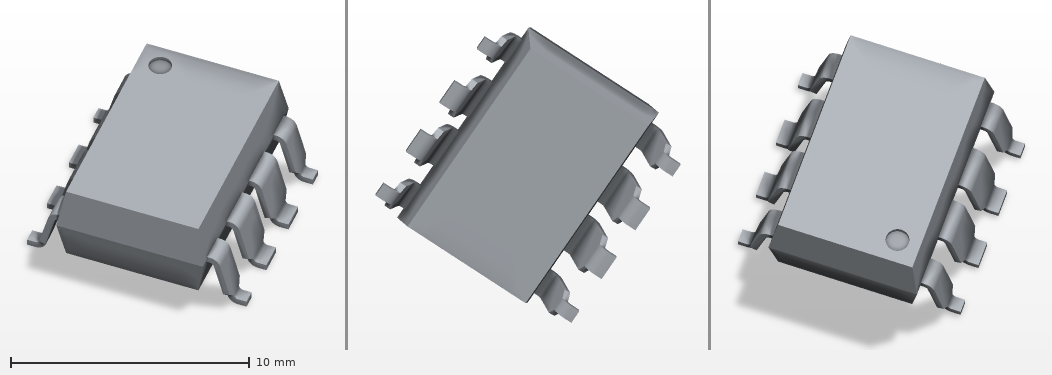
import cadquery as cq
import math

overall_span = 9.9
overall_height = 4.46

housing_width = 6.6
housing_length = overall_span
housing_height = 3.72
draft_inset = 0.32
half_height = housing_height / 2
parting_z = overall_height - half_height

marker_diameter = 1.0
marker_depth = 0.2
marker_x = -1.98
marker_y = 3.64

lead_pitch = 2.54
leads_per_side = 4
lead_thickness = 0.3
lead_slant = 15.0
inner_bend_radius = 0.2
outer_bend_radius = inner_bend_radius + lead_thickness
middle_bend_radius = inner_bend_radius + lead_thickness / 2
lead_rise = 0.07
lead_top_z = parting_z + lead_rise
foot_length = 0.38
taper_length = 0.33
end_shoulder_width = 1.2
end_foot_width = 0.59
inner_shoulder_width = 1.81
inner_foot_width = 1.12

slant_sin = math.sin(math.radians(lead_slant))
slant_cos = math.cos(math.radians(lead_slant))
lower_bend_x = -overall_span / 2 + foot_length
lower_bend_z = outer_bend_radius
upper_bend_z = lead_top_z - outer_bend_radius
bend_rise = upper_bend_z - lower_bend_z
straight_length = (bend_rise + 2 * middle_bend_radius * slant_sin) / slant_cos
upper_bend_x = lower_bend_x + 2 * middle_bend_radius * slant_cos + straight_length * slant_sin


def make_housing_half(height):
    """Frustum from the parting line; a negative height points it downward."""
    return (
        cq.Workplane("XY")
        .workplane(offset=parting_z)
        .rect(housing_width, housing_length)
        .workplane(offset=height)
        .rect(housing_width - 2 * draft_inset, housing_length - 2 * draft_inset)
        .loft(ruled=True)
    )


def make_housing():
    marker = (
        cq.Workplane("XY")
        .workplane(offset=overall_height)
        .center(marker_x, marker_y)
        .circle(marker_diameter / 2)
        .extrude(-marker_depth)
    )
    return make_housing_half(half_height).union(make_housing_half(-half_height)).cut(marker)


def arc_point(center_x, center_z, radius, angle):
    """X and Z of a point on a bend; the angle is in degrees from +X toward +Z."""
    turn = math.radians(angle)
    return (center_x + radius * math.cos(turn), center_z + radius * math.sin(turn))


def upper_bend_point(radius, angle):
    return arc_point(upper_bend_x, upper_bend_z, radius, angle)


def lower_bend_point(radius, angle):
    return arc_point(lower_bend_x, lower_bend_z, radius, angle)


def make_lead_strip(width):
    """Bent strip of constant width, running from the foot tip into the housing."""
    foot_tip_x = -overall_span / 2
    root_x = -housing_width / 2 + draft_inset
    upper_end = 180 - lead_slant
    upper_middle = (90 + upper_end) / 2
    lower_end = -lead_slant
    lower_middle = (-90 + lower_end) / 2
    return (
        cq.Workplane("XZ")
        .moveTo(foot_tip_x, 0)
        .lineTo(*lower_bend_point(outer_bend_radius, -90))
        .threePointArc(
            lower_bend_point(outer_bend_radius, lower_middle),
            lower_bend_point(outer_bend_radius, lower_end),
        )
        .lineTo(*upper_bend_point(inner_bend_radius, upper_end))
        .threePointArc(
            upper_bend_point(inner_bend_radius, upper_middle),
            upper_bend_point(inner_bend_radius, 90),
        )
        .lineTo(root_x, lead_top_z - lead_thickness)
        .lineTo(root_x, lead_top_z)
        .lineTo(*upper_bend_point(outer_bend_radius, 90))
        .threePointArc(
            upper_bend_point(outer_bend_radius, upper_middle),
            upper_bend_point(outer_bend_radius, upper_end),
        )
        .lineTo(*lower_bend_point(inner_bend_radius, lower_end))
        .threePointArc(
            lower_bend_point(inner_bend_radius, lower_middle),
            lower_bend_point(inner_bend_radius, -90),
        )
        .lineTo(foot_tip_x, lead_thickness)
        .close()
        .extrude(width / 2, both=True)
    )


def make_side_trim(shoulder_width, foot_width):
    """Waste beside the taper and foot, on the +Y edge of a lead.

    Drawn in the plane of the slanted strip: local X runs up the slant from the
    lower bend and local Y is the global Y.
    """
    bend_end_x, bend_end_z = lower_bend_point(inner_bend_radius, -lead_slant)
    slant_plane = cq.Plane(
        origin=(bend_end_x, 0, bend_end_z),
        xDir=(slant_sin, 0, slant_cos),
        normal=(-slant_cos, 0, slant_sin),
    )
    reach = 4 * outer_bend_radius
    return (
        cq.Workplane(slant_plane)
        .polyline([
            (taper_length, shoulder_width / 2),
            (0, foot_width / 2),
            (-reach, foot_width / 2),
            (-reach, shoulder_width / 2),
        ])
        .close()
        .extrude(reach, both=True)
    )


def make_lead(shoulder_width, foot_width):
    """Lead on the -X side, centred on Y = 0, before it is moved along Y."""
    trim = make_side_trim(shoulder_width, foot_width)
    return make_lead_strip(shoulder_width).cut(trim).cut(trim.mirror("XZ"))


def make_leads(housing):
    """All leads, each ending flush against the sloped side of the housing."""
    leads = []
    for position in range(leads_per_side):
        if position in (0, leads_per_side - 1):
            lead = make_lead(end_shoulder_width, end_foot_width)
        else:
            lead = make_lead(inner_shoulder_width, inner_foot_width)
        lead_y = (position - (leads_per_side - 1) / 2) * lead_pitch
        left_lead = lead.translate((0, lead_y, 0)).cut(housing)
        leads.append(left_lead.solids().val())
        leads.append(left_lead.mirror("YZ").solids().val())
    return leads


housing = make_housing()
leads = make_leads(housing)
result = cq.Compound.makeCompound([housing.solids().val(), *leads])